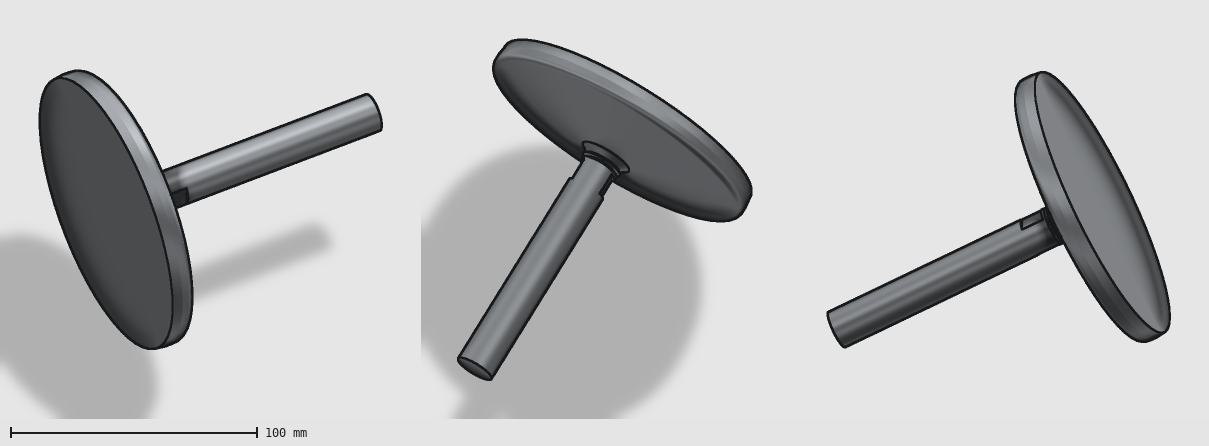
import cadquery as cq
import math

TOTAL_HEIGHT = 122.0

BASE_RADIUS = 118.0 / 2
UNDERSIDE_RADIUS = 58.4
PARTING_HEIGHT = 4.4
SHOULDER_RADIUS = 58.9
SHOULDER_HEIGHT = 9.5
RIM_ROUNDING = 2.8
DISH_TOP_RADIUS = 11.0
DISH_TOP_HEIGHT = 17.6
COLLAR_FOOT_RADIUS = 10.0
COLLAR_FOOT_HEIGHT = 18.2
COLLAR_TOP_RADIUS = 7.8
COLLAR_TOP_HEIGHT = 20.3
LIP_RADIUS = 8.8
LIP_HEIGHT = 21.1
LIP_TOP_RADIUS = 7.3
LIP_TOP_HEIGHT = 21.5

STEM_RADIUS = 16.0 / 2
STEM_BOTTOM_HEIGHT = 22.6
NECK_RADIUS = 5.9
NECK_TOP_HEIGHT = 22.0
SOCKET_FLOOR_HEIGHT = COLLAR_TOP_HEIGHT
FLATS_WIDTH = 12.9
FLATS_BOTTOM_HEIGHT = 23.9
FLATS_LENGTH = 9.5


def turn(profile):
    """Revolve a profile drawn in the XY plane around the Y axis."""
    return profile.close().revolve(360, (0, 0, 0), (0, 1, 0))


def make_base():
    """Dished foot with a rounded rim, a lipped collar and a socket for the stem neck."""
    wall_angle = math.atan2(SHOULDER_HEIGHT - PARTING_HEIGHT, SHOULDER_RADIUS - BASE_RADIUS)
    dish_angle = math.atan2(DISH_TOP_HEIGHT - SHOULDER_HEIGHT, DISH_TOP_RADIUS - SHOULDER_RADIUS)
    turn_angle = dish_angle - wall_angle
    tangent_length = RIM_ROUNDING * math.tan(turn_angle / 2)
    wall_tangent = (
        SHOULDER_RADIUS - tangent_length * math.cos(wall_angle),
        SHOULDER_HEIGHT - tangent_length * math.sin(wall_angle),
    )
    dish_tangent = (
        SHOULDER_RADIUS + tangent_length * math.cos(dish_angle),
        SHOULDER_HEIGHT + tangent_length * math.sin(dish_angle),
    )

    profile = (
        cq.Workplane("XY")
        .moveTo(0, 0)
        .lineTo(UNDERSIDE_RADIUS, 0)
        .lineTo(BASE_RADIUS, PARTING_HEIGHT)
        .lineTo(*wall_tangent)
        .tangentArcPoint(dish_tangent, relative=False)
        .lineTo(DISH_TOP_RADIUS, DISH_TOP_HEIGHT)
        .lineTo(COLLAR_FOOT_RADIUS, COLLAR_FOOT_HEIGHT)
        .lineTo(COLLAR_TOP_RADIUS, COLLAR_TOP_HEIGHT)
        .lineTo(LIP_RADIUS, LIP_HEIGHT)
        .lineTo(LIP_TOP_RADIUS, LIP_TOP_HEIGHT)
        .lineTo(NECK_RADIUS, LIP_TOP_HEIGHT)
        .lineTo(NECK_RADIUS, SOCKET_FLOOR_HEIGHT)
        .lineTo(0, SOCKET_FLOOR_HEIGHT)
    )
    return turn(profile)


def make_stem():
    """Round rod with a narrow neck at its foot and two opposite wrench flats."""
    profile = (
        cq.Workplane("XY")
        .moveTo(0, SOCKET_FLOOR_HEIGHT)
        .lineTo(NECK_RADIUS, SOCKET_FLOOR_HEIGHT)
        .lineTo(NECK_RADIUS, NECK_TOP_HEIGHT)
        .lineTo(STEM_RADIUS, STEM_BOTTOM_HEIGHT)
        .lineTo(STEM_RADIUS, TOTAL_HEIGHT)
        .lineTo(0, TOTAL_HEIGHT)
    )
    stem = turn(profile)

    flat_cutter_depth = STEM_RADIUS
    for side in (-1, 1):
        cutter = cq.Workplane("XY").box(flat_cutter_depth, FLATS_LENGTH, 2 * STEM_RADIUS)
        cutter_x = side * (FLATS_WIDTH + flat_cutter_depth) / 2
        cutter_y = FLATS_BOTTOM_HEIGHT + FLATS_LENGTH / 2
        stem = stem.cut(cutter.translate((cutter_x, cutter_y, 0)))
    return stem


base = make_base()
stem = make_stem()
result = cq.Compound.makeCompound([base.val(), stem.val()])